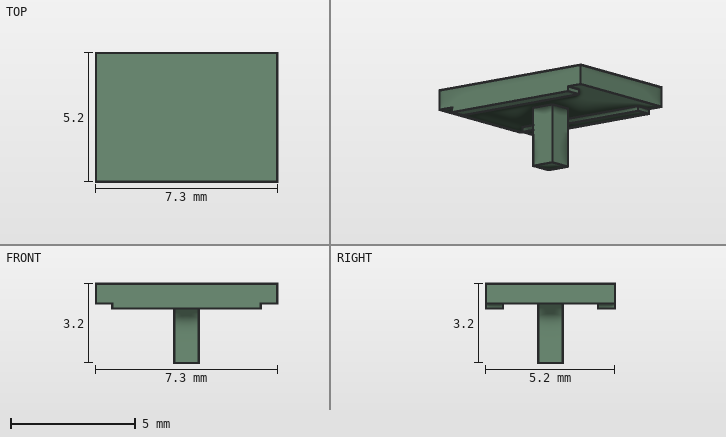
import cadquery as cq

plate_length = 7.3
plate_width = 5.2
plate_thickness = 0.8

rail_length = 5.985
rail_width = 0.69
rail_height = 0.2

total_height = 3.2
post_side = 1.0
post_height = total_height - plate_thickness


def block_below_plate(length, width, height, y_center=0):
    """Block whose top face lies on the underside of the plate (Z = 0)."""
    block = cq.Workplane("XY").box(length, width, height, centered=(True, True, False))
    return block.translate((0, y_center, -height))


plate = cq.Workplane("XY").box(
    plate_length, plate_width, plate_thickness, centered=(True, True, False)
)

result = plate.union(block_below_plate(post_side, post_side, post_height))

rail_offset = (plate_width - rail_width) / 2
for side in (-1, 1):
    rail = block_below_plate(rail_length, rail_width, rail_height, side * rail_offset)
    result = result.union(rail)